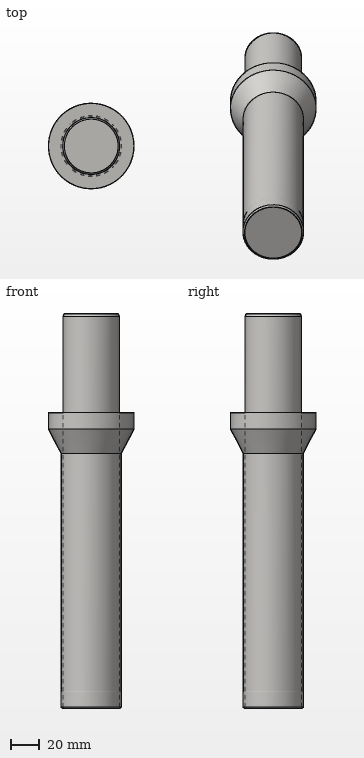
import cadquery as cq

total_height = 277.0
ring_height = 12.0
shoulder_height = 179.0
collar_bottom = 195.8
collar_top = 207.5

post_diameter = 40.0
shaft_diameter = 42.5
ring_diameter = 42.7
collar_diameter = 60.0

top_chamfer_width = 1.0
top_chamfer_height = 2.0
bottom_chamfer = 1.0
ring_shoulder_rise = 0.5


def revolved(profile):
    """Turn a closed radius-height profile about the Z axis."""
    return cq.Workplane("XZ").polyline(profile).close().revolve(360, (0, 0), (0, 1))


def make_post():
    """Straight post with a chamfered top, running the full length of the sleeve bore."""
    radius = post_diameter / 2
    return revolved([
        (0, 0),
        (radius, 0),
        (radius, total_height - top_chamfer_height),
        (radius - top_chamfer_width, total_height),
        (0, total_height),
    ])


def make_sleeve():
    """Flanged sleeve around the post, with a tapered shoulder and a raised end ring."""
    bore_radius = post_diameter / 2
    shaft_radius = shaft_diameter / 2
    ring_radius = ring_diameter / 2
    collar_radius = collar_diameter / 2
    return revolved([
        (bore_radius, 0),
        (ring_radius - bottom_chamfer, 0),
        (ring_radius, bottom_chamfer),
        (ring_radius, ring_height - ring_shoulder_rise),
        (shaft_radius, ring_height),
        (shaft_radius, shoulder_height),
        (collar_radius, collar_bottom),
        (collar_radius, collar_top),
        (bore_radius, collar_top),
    ])


post = make_post()
sleeve = make_sleeve()
result = cq.Compound.makeCompound([post.val(), sleeve.val()])